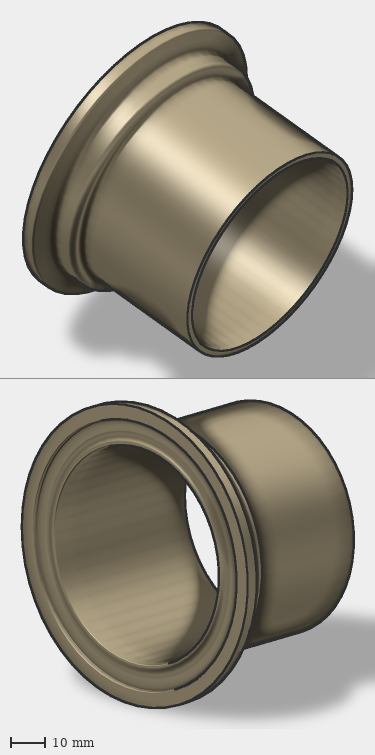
import cadquery as cq
import math

length = 56.5
flange_radius = 91 / 2
collar_radius = 78 / 2
tube_radius = 70 / 2
bore_radius = 66 / 2

clamp_slope = math.radians(20)
rim_width = 3.5
rim_round = 0.8
slope_fillet = 2.0

collar_end = 14.0
collar_round = 1.75
tube_fillet = 1.5

recess_radius = 81.7 / 2
recess_depth = 1.4
recess_edge_round = 0.3
recess_corner_fillet = 0.4

seat_radius = 2.6
seat_outer_angle = math.radians(20)
seat_inner_angle = math.radians(41)
seat_edge_round = 0.8

lip_crest_radius = 33.6
lip_outer_round = 1.2
bore_edge_round = 0.4


def direction(angle):
    """Return the (axial, radial) unit vector at an angle from the X axis."""
    return math.cos(angle), math.sin(angle)


def arc_to(path, center, radius, start, end):
    """Add an arc about (axial, radial) center between two angles."""
    middle = direction((start + end) / 2)
    last = direction(end)
    return path.threePointArc(
        (center[0] + radius * middle[0], center[1] + radius * middle[1]),
        (center[0] + radius * last[0], center[1] + radius * last[1]),
    )


def add_outside(path):
    """Trace the outside from the rim of the flange face to the tube end."""
    quarter = math.pi / 2

    path = path.lineTo(rim_width, flange_radius)
    rim_center = (rim_width, flange_radius - rim_round)
    path = arc_to(path, rim_center, rim_round, quarter, clamp_slope)

    nx, nr = direction(clamp_slope)
    fillet_center_r = collar_radius + slope_fillet
    drop = rim_center[1] - fillet_center_r
    fillet_center_x = rim_width + (rim_round + slope_fillet + drop * nr) / nx
    path = path.lineTo(fillet_center_x - slope_fillet * nx, fillet_center_r - slope_fillet * nr)
    path = arc_to(path, (fillet_center_x, fillet_center_r), slope_fillet,
                  math.pi + clamp_slope, 3 * quarter)

    round_center = (collar_end - collar_round, collar_radius - collar_round)
    path = path.lineTo(round_center[0], collar_radius)
    path = arc_to(path, round_center, collar_round, quarter, 0)
    tube_center = (collar_end + tube_fillet, tube_radius + tube_fillet)
    path = path.lineTo(collar_end, tube_center[1])
    path = arc_to(path, tube_center, tube_fillet, math.pi, 3 * quarter)
    return path.lineTo(length, tube_radius)


def add_face(path):
    """Trace the flange face from the bore over the lip, seat and recess to its rim."""
    quarter = math.pi / 2
    half = math.pi

    edge_center_x = recess_depth + seat_edge_round
    edge_reach = seat_edge_round + seat_radius
    seat_center_x = edge_center_x - edge_reach * math.cos(seat_outer_angle)
    lip_reach = seat_radius + lip_outer_round
    lip_center_x = seat_center_x + lip_reach * math.cos(seat_inner_angle)
    seat_center_r = lip_crest_radius + lip_reach * math.sin(seat_inner_angle)
    edge_center_r = seat_center_r + edge_reach * math.sin(seat_outer_angle)
    crest_x = lip_center_x - lip_outer_round

    bore_center = (crest_x + bore_edge_round, bore_radius + bore_edge_round)
    path = path.lineTo(bore_center[0], bore_radius)
    path = arc_to(path, bore_center, bore_edge_round, 3 * quarter, half)
    path = path.lineTo(crest_x, lip_crest_radius)

    lip_center = (lip_center_x, lip_crest_radius)
    path = arc_to(path, lip_center, lip_outer_round, half, half - seat_inner_angle)
    seat_center = (seat_center_x, seat_center_r)
    path = arc_to(path, seat_center, seat_radius, -seat_inner_angle, seat_outer_angle)
    edge_center = (edge_center_x, edge_center_r)
    path = arc_to(path, edge_center, seat_edge_round, half + seat_outer_angle, half)

    corner = (recess_depth - recess_corner_fillet, recess_radius - recess_corner_fillet)
    path = path.lineTo(recess_depth, corner[1])
    path = arc_to(path, corner, recess_corner_fillet, 0, quarter)
    rim_edge = (recess_edge_round, recess_radius + recess_edge_round)
    path = path.lineTo(rim_edge[0], recess_radius)
    path = arc_to(path, rim_edge, recess_edge_round, 3 * quarter, half)
    return path.lineTo(0, flange_radius)


def make_ferrule():
    """Revolve the half section about the X axis."""
    path = cq.Workplane("XY").moveTo(length, bore_radius)
    path = add_face(path)
    path = add_outside(path)
    return path.close().revolve(360, (0, 0, 0), (1, 0, 0))


result = make_ferrule()